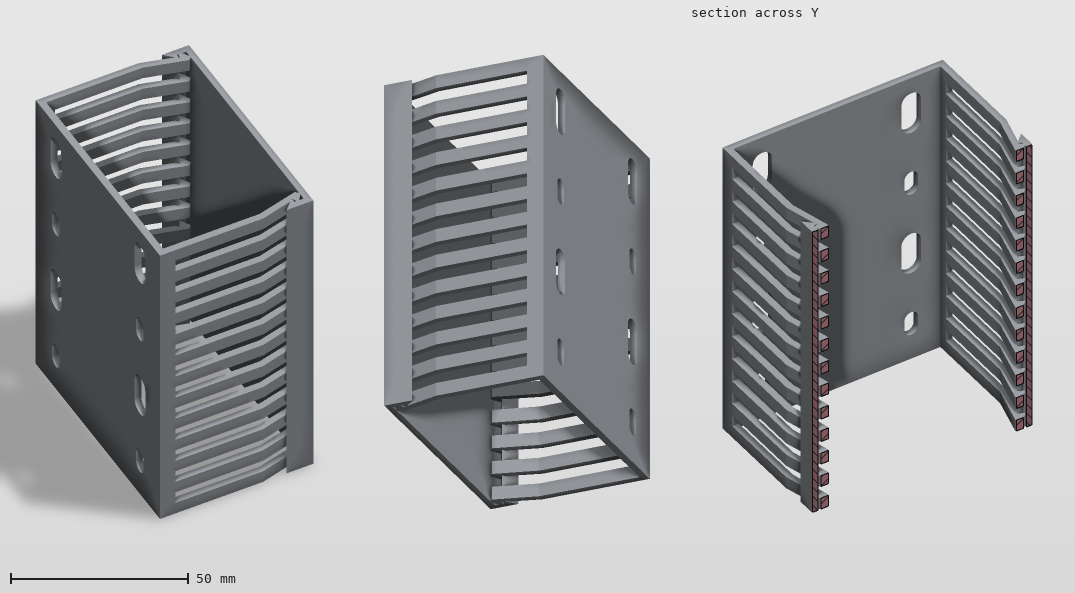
import cadquery as cq
WIDTH = 74.0
HEIGHT = 49.0
LENGTH = 100.0
HALF_WIDTH = WIDTH / 2

LID_THICKNESS = 2.0
LIP_THICKNESS = 2.0
HOOK_REACH = 3.6
HOOK_DEPTH = 5.0
LID_UNDERSIDE = HEIGHT - LID_THICKNESS
HOOK_Y = HEIGHT - HOOK_DEPTH
LIP_END_Y = HOOK_Y - HOOK_REACH

WALL = 2.2
BEND_Y = 33.0
LEAN_SLOPE = 0.27

NOTCH_Y = (LIP_END_Y - LEAN_SLOPE * BEND_Y) / (1 - LEAN_SLOPE)
NOTCH_INSET = NOTCH_Y - LIP_END_Y

HEAD_INNER_INSET = 5.6
HEAD_CHAMFER = 0.9
HEAD_TOP_INSET = 4.2
BARB_INSET = 1.6
BARB_TOP_Y = 45.4
BARB_BOTTOM_Y = 44.9

GROOVE_DEPTH = LIP_THICKNESS - BARB_INSET
BARB_TOP_SLOPE = (LID_UNDERSIDE - BARB_TOP_Y) / (HEAD_TOP_INSET - BARB_INSET)
BARB_BOTTOM_SLOPE = (HOOK_Y - BARB_BOTTOM_Y) / (HOOK_REACH - BARB_INSET)
GROOVE_TOP_Y = BARB_TOP_Y + GROOVE_DEPTH * BARB_TOP_SLOPE
GROOVE_BOTTOM_Y = BARB_BOTTOM_Y + GROOVE_DEPTH * BARB_BOTTOM_SLOPE

FINGER_COUNT = 13
SLOT_COUNT = FINGER_COUNT - 1
SLOT_WIDTH = LENGTH / (FINGER_COUNT + SLOT_COUNT)
SLOT_PITCH = 2 * SLOT_WIDTH
FIRST_SLOT_Z = SLOT_PITCH - SLOT_WIDTH / 2
SLOT_BOTTOM_Y = 5.0

HOLE_ROW_X = 25.0
HOLE_PITCH = 25.0
FIRST_HOLE_Z = HOLE_PITCH / 2
LARGE_HOLE_LENGTH = 14.0
LARGE_HOLE_WIDTH = 6.5
SMALL_HOLE_LENGTH = 8.0
SMALL_HOLE_WIDTH = 4.5


def mirrored_prism(right_half):
    """Extrude a closed XY outline along Z, given its right half from one centre line point to the other."""
    left_half = [(-x, y) for x, y in reversed(right_half)]
    return cq.Workplane("XY").polyline(right_half + left_half).close().extrude(LENGTH)


def make_lid():
    """Lid plate with a grooved lip and an inward hook along both long edges."""
    return mirrored_prism([
        (HALF_WIDTH, HEIGHT),
        (HALF_WIDTH, LIP_END_Y),
        (HALF_WIDTH - HOOK_REACH, HOOK_Y),
        (HALF_WIDTH - LIP_THICKNESS, HOOK_Y),
        (HALF_WIDTH - LIP_THICKNESS, GROOVE_BOTTOM_Y),
        (HALF_WIDTH - BARB_INSET, BARB_BOTTOM_Y),
        (HALF_WIDTH - BARB_INSET, BARB_TOP_Y),
        (HALF_WIDTH - LIP_THICKNESS, GROOVE_TOP_Y),
        (HALF_WIDTH - LIP_THICKNESS, LID_UNDERSIDE),
    ])


def channel_body():
    """Floor and solid side walls, each wall notched around the hook and ending in a barbed head."""
    return mirrored_prism([
        (HALF_WIDTH, 0),
        (HALF_WIDTH, BEND_Y),
        (HALF_WIDTH - NOTCH_INSET, NOTCH_Y),
        (HALF_WIDTH - HOOK_REACH, HOOK_Y),
        (HALF_WIDTH - BARB_INSET, BARB_BOTTOM_Y),
        (HALF_WIDTH - BARB_INSET, BARB_TOP_Y),
        (HALF_WIDTH - HEAD_TOP_INSET, LID_UNDERSIDE),
        (HALF_WIDTH - HEAD_INNER_INSET + HEAD_CHAMFER, LID_UNDERSIDE),
        (HALF_WIDTH - HEAD_INNER_INSET, LID_UNDERSIDE - HEAD_CHAMFER),
        (HALF_WIDTH - WALL, BEND_Y),
        (HALF_WIDTH - WALL, WALL),
    ])


def wall_slots():
    """Bars across the full width that cut both side walls, open toward the lid."""
    centers = [(0, FIRST_SLOT_Z + index * SLOT_PITCH) for index in range(SLOT_COUNT)]
    plane = cq.Workplane("XZ", origin=(0, HEIGHT, 0))
    return plane.pushPoints(centers).rect(WIDTH, SLOT_WIDTH).extrude(HEIGHT - SLOT_BOTTOM_Y)


def mounting_holes(first_z, length, width):
    """Two pairs of oblong holes, long along Z, through the floor."""
    second_z = first_z + 2 * HOLE_PITCH
    centers = [(x, z) for x in (-HOLE_ROW_X, HOLE_ROW_X) for z in (first_z, second_z)]
    return cq.Workplane("XZ").pushPoints(centers).slot2D(length, width, 90).extrude(-WALL)


def make_channel():
    """Channel with its walls split into fingers and its floor drilled for mounting."""
    return (
        channel_body()
        .cut(wall_slots())
        .cut(mounting_holes(FIRST_HOLE_Z, SMALL_HOLE_LENGTH, SMALL_HOLE_WIDTH))
        .cut(mounting_holes(FIRST_HOLE_Z + HOLE_PITCH, LARGE_HOLE_LENGTH, LARGE_HOLE_WIDTH))
    )


lid = make_lid()
channel = make_channel()

result = cq.Compound.makeCompound([channel.val(), lid.val()])